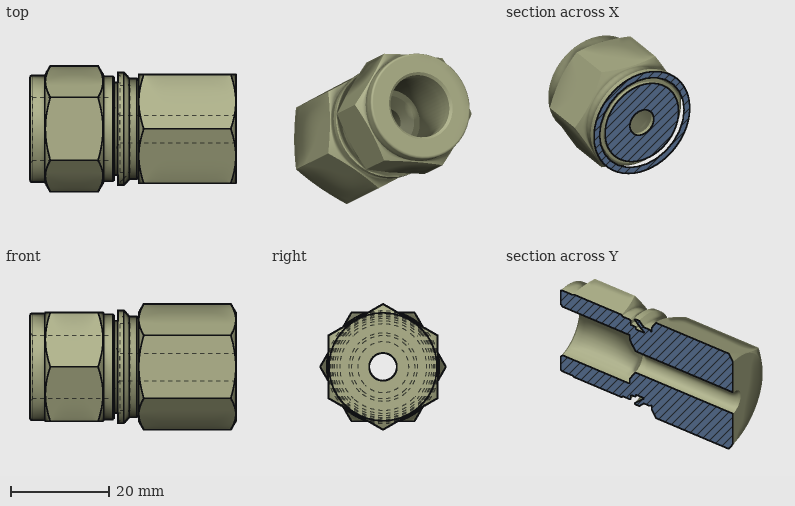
import cadquery as cq
import math

length = 42.0
hex_corner_diameter = 25.65
hex_flat_distance = hex_corner_diameter * math.cos(math.pi / 6)
hex_chamfer_slope = math.tan(math.pi / 3)

nut_start = 3.02
nut_end = 15.08
collar_end = 17.15
flange_start = 17.95
neck_end = 18.3
flange_rim_end = 19.15
flange_cone_end = 20.25
body_hex_start = 22.15

face_undersize = 0.2
cap_diameter = 21.8
collar_diameter = 21.5
neck_diameter = 18.9
undercut_diameter = 17.7
flange_diameter = 23.0
flange_recess_diameter = 22.43
shoulder_diameter = 20.6
body_hex_face_diameter = hex_flat_distance - face_undersize

flange_recess_end = flange_start + (flange_recess_diameter - undercut_diameter) / 2

cap_fillet = 0.45
collar_chamfer = 0.3
shoulder_chamfer = 0.38

entry_diameter = 13.95
entry_chamfer_depth = 0.5
socket_diameter = 12.9
socket_depth = 16.8
funnel_diameter = 10.4
through_diameter = 5.6
funnel_depth = (funnel_diameter - through_diameter) / 2 * math.tan(math.pi / 6)


def revolve_profile(points):
    """Revolve (x, radius) points about the X axis."""
    return cq.Workplane("XY").polyline(points).close().revolve(360, (0, 0), (1, 0))


def cylinder(start, end, diameter):
    return cq.Workplane("YZ").workplane(offset=start).circle(diameter / 2).extrude(end - start)


def chamfered_hex(start, end, start_face_diameter, end_face_diameter, turn):
    """Hexagonal prism along X, its corners trimmed by a cone at each end."""
    prism = (
        cq.Workplane("YZ")
        .workplane(offset=start)
        .polygon(6, hex_corner_diameter)
        .extrude(end - start)
        .rotate((0, 0, 0), (1, 0, 0), turn)
    )
    corner_radius = hex_corner_diameter / 2
    start_run = (corner_radius - start_face_diameter / 2) / hex_chamfer_slope
    end_run = (corner_radius - end_face_diameter / 2) / hex_chamfer_slope
    envelope = revolve_profile([
        (start, 0),
        (start, start_face_diameter / 2),
        (start + start_run, corner_radius),
        (end - end_run, corner_radius),
        (end, end_face_diameter / 2),
        (end, 0),
    ])
    return prism.intersect(envelope)


cap = cylinder(0, nut_start, cap_diameter).faces("<X").edges().fillet(cap_fillet)
nut_hex = chamfered_hex(nut_start, nut_end, cap_diameter, collar_diameter, 0)
collar = cylinder(nut_end, collar_end, collar_diameter).faces(">X").edges().chamfer(collar_chamfer)

neck_and_flange = revolve_profile([
    (collar_end, 0),
    (collar_end, neck_diameter / 2),
    (neck_end, neck_diameter / 2),
    (neck_end, undercut_diameter / 2),
    (flange_recess_end, undercut_diameter / 2),
    (flange_start, flange_recess_diameter / 2),
    (flange_start, flange_diameter / 2),
    (flange_rim_end, flange_diameter / 2),
    (flange_cone_end, shoulder_diameter / 2),
    (body_hex_start - shoulder_chamfer, shoulder_diameter / 2),
    (body_hex_start, shoulder_diameter / 2 - shoulder_chamfer),
    (body_hex_start, 0),
])
body_hex = chamfered_hex(body_hex_start, length, body_hex_face_diameter, body_hex_face_diameter, 90)

bore = revolve_profile([
    (0, 0),
    (0, entry_diameter / 2),
    (entry_chamfer_depth, socket_diameter / 2),
    (socket_depth, socket_diameter / 2),
    (socket_depth, funnel_diameter / 2),
    (socket_depth + funnel_depth, through_diameter / 2),
    (length, through_diameter / 2),
    (length, 0),
])

outside = cap.union(nut_hex).union(collar).union(neck_and_flange).union(body_hex)
result = outside.cut(bore)